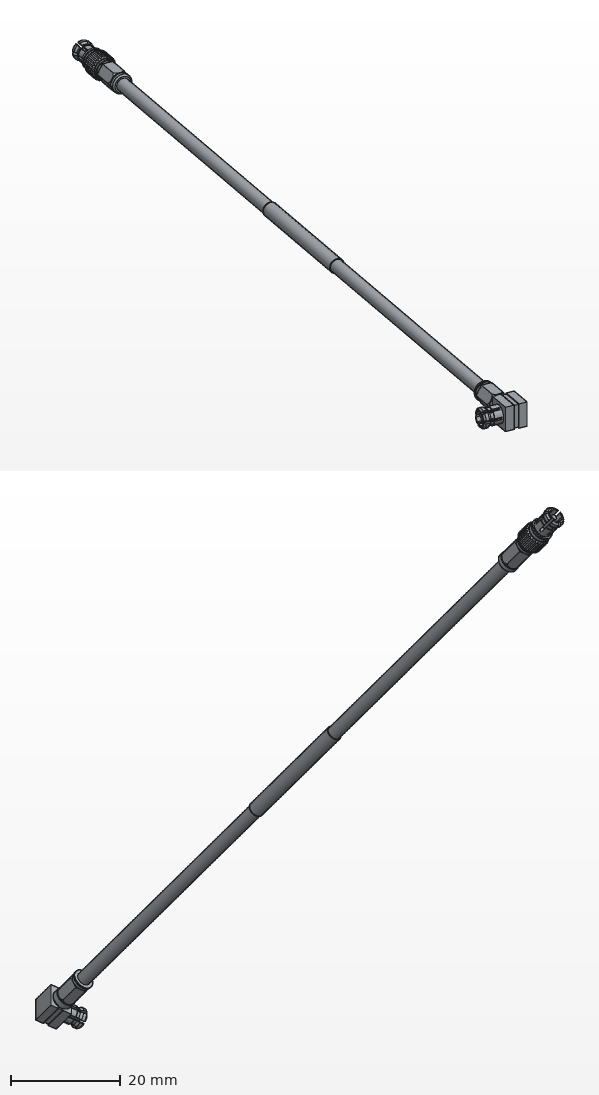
import cadquery as cq

TOTAL_LENGTH = 166.5

CABLE_RADIUS = 1.3
CABLE_INSERTION = 3.3
SLEEVE_RADIUS = 1.5
SLEEVE_LENGTH = 25.7

LIP_RADIUS = 2.0
LIP_LENGTH = 1.0
LIP_CHAMFER = 0.3
WAIST_RADIUS = 1.7
CONE_END = 1.5
WAIST_END = 2.2
FINGER_RADIUS = 1.8
TIP_BORE_RADIUS = 1.3
TIP_BORE_DEPTH = 3.7
CONTACT_RADIUS = 0.5
CONTACT_RECESS = 0.5
SLOT_WIDTH = 0.5
SLOT_COUNT = 6

NECK_RADIUS = 1.8
NECK_LENGTH = 0.7
HEX_SIDES = 6
HEX_CORNER_RADIUS = 2.2
HEX_LENGTH = 4.8
HEX_CHAMFER_LENGTH = 0.7
HEX_CHAMFER_RADIUS = 1.8
COLLAR_RADIUS = 2.0

STRAIGHT_TIP_LENGTH = 4.3
FLANGE_RADIUS = 2.2
FLANGE_END = 4.8
SHOULDER_RADIUS = 2.0
GRIP_START = 5.7
GRIP_END = 9.0
GRIP_RADIUS = 2.5
GRIP_CHAMFER = 0.3
FLUTE_COUNT = 24
FLUTE_RADIUS = 0.2
STRAIGHT_NECK_START = 9.5
STRAIGHT_END = 16.2
COLLAR_CHAMFER = 0.3

BLOCK_SIZE = 5.0
BLOCK_DEPTH = 4.5
BLOCK_BACK = BLOCK_SIZE / 2
BLOCK_FRONT = BLOCK_BACK - BLOCK_DEPTH
BLOCK_START = TOTAL_LENGTH - BLOCK_SIZE
BLOCK_CENTER = TOTAL_LENGTH - BLOCK_SIZE / 2
ANGLE_TIP_LENGTH = 4.0
CAP_THICKNESS = 1.7
CAP_FACE = BLOCK_BACK - CAP_THICKNESS
GROOVE_WIDTH = 1.0
GROOVE_DEPTH = 0.2
RIM_START = 154.5
RIM_END = 154.9

CABLE_START = STRAIGHT_END - CABLE_INSERTION
CABLE_END = RIM_START + CABLE_INSERTION
SLEEVE_CENTER = (STRAIGHT_END + RIM_START) / 2


def rod(start, end, radius):
    """Cylinder on the cable axis between two X stations."""
    return cq.Workplane("YZ", origin=(start, 0, 0)).circle(radius).extrude(end - start)


def mating_tip(length):
    """Slotted contact tip with a lip, open at X = 0 and reaching to X = length."""
    tip = (
        cq.Workplane("XY")
        .moveTo(0, 0)
        .lineTo(0, LIP_RADIUS - LIP_CHAMFER)
        .lineTo(LIP_CHAMFER, LIP_RADIUS)
        .lineTo(LIP_LENGTH, LIP_RADIUS)
        .lineTo(CONE_END, WAIST_RADIUS)
        .lineTo(WAIST_END, WAIST_RADIUS)
        .lineTo(WAIST_END, FINGER_RADIUS)
        .lineTo(length, FINGER_RADIUS)
        .lineTo(length, 0)
        .close()
        .revolve(360, (0, 0, 0), (1, 0, 0))
    )
    tip = tip.cut(rod(0, TIP_BORE_DEPTH, TIP_BORE_RADIUS))
    slot = cq.Workplane("XY").box(
        TIP_BORE_DEPTH, 2 * LIP_RADIUS, SLOT_WIDTH, centered=(False, False, True)
    )
    for index in range(SLOT_COUNT):
        angle = index * 360 / SLOT_COUNT
        tip = tip.cut(slot.rotate((0, 0, 0), (1, 0, 0), angle))
    return tip.union(rod(CONTACT_RECESS, length, CONTACT_RADIUS))


def crimp(neck_start, collar_end):
    """Round neck, then a hexagon with flats up and down and a coned +X end, then a round collar."""
    hex_start = neck_start + NECK_LENGTH
    hex_end = hex_start + HEX_LENGTH
    hexagon = (
        cq.Workplane("YZ", origin=(hex_start, 0, 0))
        .polygon(HEX_SIDES, 2 * HEX_CORNER_RADIUS)
        .extrude(HEX_LENGTH)
    )
    turned_envelope = (
        cq.Workplane("XY")
        .moveTo(hex_start, 0)
        .lineTo(hex_start, HEX_CORNER_RADIUS)
        .lineTo(hex_end - HEX_CHAMFER_LENGTH, HEX_CORNER_RADIUS)
        .lineTo(hex_end, HEX_CHAMFER_RADIUS)
        .lineTo(hex_end, 0)
        .close()
        .revolve(360, (0, 0, 0), (1, 0, 0))
    )
    neck = rod(neck_start, hex_start, NECK_RADIUS)
    collar = rod(hex_end, collar_end, COLLAR_RADIUS)
    return neck.union(hexagon.intersect(turned_envelope)).union(collar)


def knurled_grip():
    """Chamfered grip ring with straight flutes around its rim."""
    grip = rod(GRIP_START, GRIP_END, GRIP_RADIUS).edges().chamfer(GRIP_CHAMFER)
    flutes = (
        cq.Workplane("YZ", origin=(GRIP_START, 0, 0))
        .polarArray(GRIP_RADIUS, 0, 360, FLUTE_COUNT)
        .circle(FLUTE_RADIUS)
        .extrude(GRIP_END - GRIP_START)
    )
    return grip.cut(flutes)


def build_straight_plug():
    """Straight plug with a knurled grip, crimped onto the -X end of the cable."""
    crimped_end = crimp(STRAIGHT_NECK_START, STRAIGHT_END).faces(">X").edges().chamfer(COLLAR_CHAMFER)
    return (
        mating_tip(STRAIGHT_TIP_LENGTH)
        .union(rod(STRAIGHT_TIP_LENGTH, FLANGE_END, FLANGE_RADIUS))
        .union(rod(FLANGE_END, STRAIGHT_NECK_START, SHOULDER_RADIUS))
        .union(knurled_grip())
        .union(crimped_end)
        .cut(rod(CABLE_START, STRAIGHT_END, CABLE_RADIUS))
    )


def block_slice(back, depth, size):
    """Square slab centred on the angle plug's block, reaching from Y = back toward -Y."""
    return cq.Workplane("XZ", origin=(BLOCK_CENTER, back, 0)).rect(size, size).extrude(depth)


def build_angle_plug():
    """Right-angle plug: rim and crimp on the cable, grooved block, and mating tip toward -Y."""
    groove_end = CAP_FACE - GROOVE_WIDTH
    grooved_part = block_slice(CAP_FACE, GROOVE_WIDTH, BLOCK_SIZE - 2 * GROOVE_DEPTH)
    front_part = block_slice(groove_end, groove_end - BLOCK_FRONT, BLOCK_SIZE)
    tip = (
        mating_tip(ANGLE_TIP_LENGTH)
        .rotate((0, 0, 0), (0, 0, 1), 90)
        .translate((BLOCK_CENTER, BLOCK_FRONT - ANGLE_TIP_LENGTH, 0))
    )
    crimped_end = crimp(RIM_END, BLOCK_START + GROOVE_DEPTH)
    return (
        rod(RIM_START, RIM_END, COLLAR_RADIUS)
        .union(crimped_end)
        .union(grooved_part)
        .union(front_part)
        .union(tip)
        .cut(rod(RIM_START, CABLE_END, CABLE_RADIUS))
    )


def build_cap():
    """Square plate on the back of the angle plug's block, notched for the collar."""
    return block_slice(BLOCK_BACK, CAP_THICKNESS, BLOCK_SIZE).cut(
        rod(BLOCK_START, BLOCK_START + GROOVE_DEPTH, COLLAR_RADIUS)
    )


def build_cable():
    """Plain round cable ending inside both plugs."""
    return rod(CABLE_START, CABLE_END, CABLE_RADIUS)


def build_sleeve():
    """Thin marker sleeve around the middle of the exposed cable."""
    start = SLEEVE_CENTER - SLEEVE_LENGTH / 2
    end = SLEEVE_CENTER + SLEEVE_LENGTH / 2
    return rod(start, end, SLEEVE_RADIUS).cut(rod(start, end, CABLE_RADIUS))


straight_plug = build_straight_plug()
angle_plug = build_angle_plug()
cap = build_cap()
cable = build_cable()
sleeve = build_sleeve()

result = cq.Compound.makeCompound(
    [straight_plug.val(), angle_plug.val(), cap.val(), cable.val(), sleeve.val()]
)